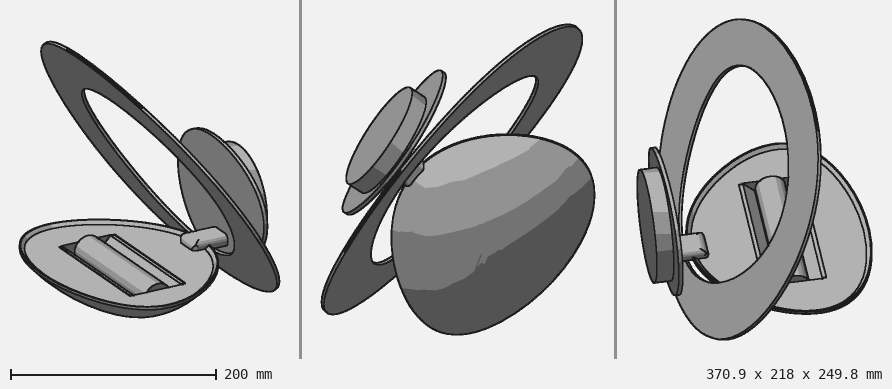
import cadquery as cq
import math


mount_diameter = 111.3
mount_depth = 16.7
mount_height = 36.0
plate_thickness = 4.0

arm_width = 29.5
arm_top = 6.0
arm_bottom = -7.0
arm_end = -59.0
arm_edge_radius = 6.0
arm_corner_radius = 5.5
arm_end_radius = 9.5

ring_tilt = 60.0
ring_foot_y = -22.0
ring_foot_z = -31.5
ring_thickness = 3.5
ring_length = 372.0

rim_height = 3.0
bowl_depth = 43.8
bowl_levels = (1.0, 0.9, 0.75, 0.55, 0.3, 0.08)
rim_width = 1.0
recess_depth = 3.5
recess_slope_width = 4.0

trough_left = -61.5
trough_length = 140.5
trough_y = -135.5
trough_top_width = 55.3
trough_floor_width = 30.5
trough_depth = 12.5
lip_width = 3.5
lip_depth = 0.7
lip_end_inset = 1.0
tube_radius = 15.0
tube_top = 2.5
tube_gap = 2.5
tube_end_gap = 1.0

outline_steps = 24
ring_outer = dict(
    center=(6.5, 134.0), half_length=ring_length / 2, half_width=134.5,
    turn=-7.5, taper=-0.1, bend=2.2, swell=0.08,
)
ring_inner = dict(
    center=(6.5, 126.5), half_length=122.0, half_width=97.5,
    turn=-3.7, taper=-0.06, bend=19.3, swell=-0.06,
)
plate_egg = dict(
    center=(0, 36.0), half_length=84.5, half_width=62.5,
    turn=-6.1, taper=-0.07, bend=9.5, swell=-0.01,
)
bowl_egg = dict(
    center=(7.0, -129.0), half_length=115.8, half_width=88.5,
    turn=1.8, taper=-0.05, bend=-20.5, swell=-0.08,
)
bowl_bottom = (7.0, -131.5)


def egg_points(center, half_length, half_width, turn, taper, bend, swell):
    """Points round an ellipse that is tapered, swollen and bent along its length, then turned."""
    cos_turn = math.cos(math.radians(turn))
    sin_turn = math.sin(math.radians(turn))
    points = []
    for step in range(outline_steps):
        angle = 2 * math.pi * step / outline_steps
        along = math.cos(angle)
        u = half_length * along
        v = half_width * math.sin(angle) * (1 + taper * along + swell * along**2) + bend * along**2
        points.append((center[0] + u * cos_turn - v * sin_turn, center[1] + u * sin_turn + v * cos_turn))
    return points


def egg_plate(workplane, outline, thickness, both=False):
    return workplane.spline(egg_points(**outline), periodic=True).close().extrude(thickness, both=both)


def inset_egg(outline, inset):
    """The same egg with its half sizes reduced by the inset."""
    smaller = dict(outline)
    smaller["half_length"] -= inset
    smaller["half_width"] -= inset
    return smaller


def egg_loft(sections):
    """Smooth solid through (points, height) sections."""
    wires = []
    for points, height in sections:
        vectors = [cq.Vector(x, y, height) for x, y in points]
        wires.append(cq.Wire.assembleEdges([cq.Edge.makeSpline(vectors, periodic=True)]))
    return cq.Workplane(cq.Solid.makeLoft(wires))


def make_mount():
    front = cq.Workplane("XZ")
    drum = front.center(0, mount_height).circle(mount_diameter / 2).extrude(mount_depth)
    plate = egg_plate(front.workplane(offset=mount_depth), plate_egg, plate_thickness)
    return drum.union(plate)


def make_arm():
    length = -mount_depth - arm_end
    block = cq.Workplane("XY").box(arm_width, length, arm_top - arm_bottom, centered=(True, False, False))
    block = block.translate((0, arm_end, arm_bottom))
    arm = block.edges("|Y").fillet(arm_edge_radius)
    rounded_end = block.edges("|Z and <Y").fillet(arm_corner_radius)
    top_end_edge = cq.selectors.NearestToPointSelector((0, arm_end, arm_top))
    rolled_end = block.edges(top_end_edge).fillet(arm_end_radius)
    return arm.intersect(rounded_end).intersect(rolled_end)


def make_ring():
    normal = (0, -math.sin(math.radians(ring_tilt)), -math.cos(math.radians(ring_tilt)))
    slope = cq.Workplane(cq.Plane(origin=(0, ring_foot_y, ring_foot_z), xDir=(1, 0, 0), normal=normal))
    outer = egg_plate(slope, ring_outer, ring_thickness / 2, both=True)
    return outer.cut(egg_plate(slope, ring_inner, ring_thickness / 2, both=True))


def make_bowl():
    rim = egg_plate(cq.Workplane("XY").workplane(offset=-rim_height), bowl_egg, rim_height)
    cap_depth = bowl_depth - rim_height
    cap_radius = (bowl_egg["half_width"]**2 + cap_depth**2) / (2 * cap_depth)
    bottom_x, bottom_y = bowl_bottom
    sections = []
    for level in bowl_levels:
        reach = level * bowl_egg["half_width"]
        height = cap_radius - bowl_depth - math.sqrt(cap_radius**2 - reach**2)
        points = []
        for x, y in egg_points(**bowl_egg):
            scaled_x = bottom_x + level * (x - bottom_x)
            scaled_y = bottom_y + level * (y - bottom_y)
            points.append((scaled_x, scaled_y))
        sections.append((points, height))
    top_edge = inset_egg(bowl_egg, rim_width)
    floor_edge = inset_egg(bowl_egg, rim_width + recess_slope_width)
    recess = egg_loft([(egg_points(**top_edge), 0), (egg_points(**floor_edge), -recess_depth)])
    return rim.union(egg_loft(sections)).cut(recess)


def make_trough():
    """Trough with two sloping sides, with a shallow lip along each long side."""
    half_top = trough_top_width / 2
    half_floor = trough_floor_width / 2
    side = cq.Workplane("YZ").center(trough_y, -recess_depth).workplane(offset=trough_left)
    trough = side.polyline([
        (-half_top, 0),
        (half_top, 0),
        (half_floor, -trough_depth),
        (-half_floor, -trough_depth),
    ]).close().extrude(trough_length)
    lip_length = trough_length - 2 * lip_end_inset
    lip_span = trough_top_width + 2 * lip_width
    lips = cq.Workplane("XY").box(lip_length, lip_span, lip_depth, centered=(True, True, False))
    lips = lips.translate((trough_left + trough_length / 2, trough_y, -recess_depth - lip_depth))
    return trough.union(lips)


def make_tube():
    side = cq.Workplane("YZ").workplane(offset=trough_left + tube_gap)
    tube = side.center(trough_y, tube_top - tube_radius).circle(tube_radius)
    return tube.extrude(trough_length - tube_gap - tube_end_gap)


bowl = make_bowl().cut(make_trough()).union(make_tube())
result = make_mount().union(make_arm()).union(make_ring()).union(bowl)